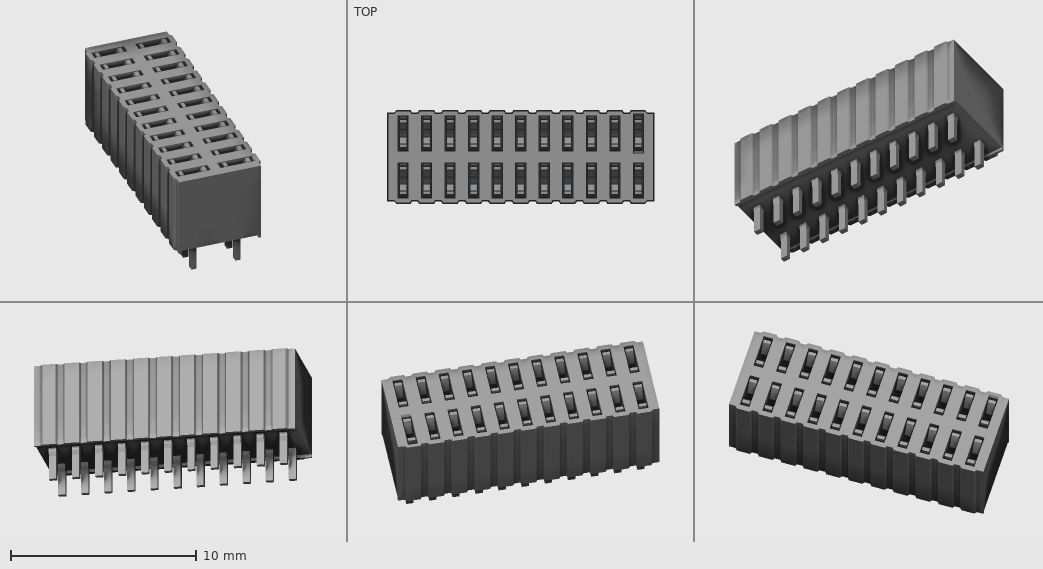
import cadquery as cq
import math

columns = 11
length = 14.37
depth = 5.0
body_height = 4.6
pin_drop = 1.6
end_margin = 0.83
pitch = (length - 2 * end_margin) / (columns - 1)
row_offset = pitch
column_xs = [end_margin - length / 2 + i * pitch for i in range(columns)]
row_ys = [-row_offset, row_offset]

rib_depth = 0.13
rib_half_width = 0.39
rib_flank = 0.09
end_half_width = 0.35
end_rib_flank = rib_depth
recess_width = 4.45
recess_height = 0.17

slot_width = 0.55
slot_length = 1.9
slot_depth = 3.45
marker_lead = 0.1
marker_lead_depth = 0.1

contact_width = 0.4
strip_thickness = 0.19
tip_gap = 0.01
tip_z = body_height - tip_gap
tip_inner_y = 0.57
tip_outer_y = tip_inner_y + strip_thickness
throat_y = 0.2
tip_face_height = 0.22
throat_z = tip_z - 0.62
shoulder_top_y = 0.78
shoulder_top_z = tip_z - 2.01
shoulder_radius = slot_length / 2 - shoulder_top_y
base_flat = 0.05
base_radius = 0.72
floor_z = body_height - slot_depth

pin_thickness = 0.3
pin_root_thickness = 0.4
pin_taper_start_z = -0.05
pin_taper_end_z = -0.3


def box(x_size, y_size, z_low, z_high):
    """Box centred on the Z axis between two heights."""
    return cq.Workplane("XY").workplane(offset=z_low).rect(x_size, y_size).extrude(z_high - z_low)


def centred_along_x(profile, width):
    """Extrude a YZ profile equally to both sides of X = 0."""
    return profile.extrude(width / 2, both=True)


def at_contacts(shape):
    """One copy of a shape at every contact position."""
    return [shape.val().translate(cq.Vector(x, y, 0)) for x in column_xs for y in row_ys]


def rib_side(x, direction, at_end):
    """Crest and root corners on one side of a +Y rib; direction is +1 or -1 along X."""
    half_width = end_half_width if at_end else rib_half_width
    flank = end_rib_flank if at_end else rib_flank
    crest = (x + direction * half_width, depth / 2)
    root = (x + direction * (half_width + flank), depth / 2 - rib_depth)
    return crest, root


def make_housing():
    """Ribbed block with a shallow channel under it between two long feet."""
    back = [(-length / 2, depth / 2 - rib_depth)]
    for i, x in enumerate(column_xs):
        left_crest, left_root = rib_side(x, -1, i == 0)
        right_crest, right_root = rib_side(x, 1, i == columns - 1)
        back += [left_root, left_crest, right_crest, right_root]
    back.append((length / 2, depth / 2 - rib_depth))
    front = [(x, -y) for x, y in reversed(back)]
    block = cq.Workplane("XY").polyline(back + front).close().extrude(body_height)
    return block.cut(box(length, recess_width, 0, recess_height))


def make_marker_lead():
    """Sloping ends that lengthen the mouth of the marker slot."""
    low_y = slot_length / 2
    top_y = low_y + marker_lead
    low_z = body_height - marker_lead_depth
    profile = cq.Workplane("YZ").polyline(
        [(-low_y, low_z), (low_y, low_z), (top_y, body_height), (-top_y, body_height)]
    ).close()
    return centred_along_x(profile, slot_width)


def make_arm(side):
    """One spring arm: curved base, inward lean to the throat, flared tip; side is +1 or -1."""
    wall_y = slot_length / 2
    base_top_z = floor_z + base_radius
    base_run = base_radius * math.sin(math.radians(45))
    shoulder_run = shoulder_radius * math.sin(math.radians(45))
    shoulder_base_z = shoulder_top_z - shoulder_radius

    def point(y, z):
        return (side * y, z)

    profile = (
        cq.Workplane("YZ")
        .moveTo(*point(base_flat, floor_z))
        .threePointArc(
            point(base_flat + base_run, base_top_z - base_run),
            point(base_flat + base_radius, base_top_z),
        )
        .lineTo(*point(throat_y, throat_z))
        .lineTo(*point(tip_inner_y, tip_z))
        .lineTo(*point(tip_outer_y, tip_z))
        .lineTo(*point(tip_outer_y, tip_z - tip_face_height))
        .lineTo(*point(throat_y + strip_thickness, throat_z))
        .lineTo(*point(shoulder_top_y, shoulder_top_z))
        .threePointArc(
            point(shoulder_top_y + shoulder_run, shoulder_base_z + shoulder_run),
            point(wall_y, shoulder_base_z),
        )
        .lineTo(*point(wall_y, floor_z))
        .close()
    )
    return centred_along_x(profile, contact_width)


def make_pin():
    """Solder pin that tapers below the channel and then runs straight."""
    root = pin_root_thickness / 2
    shank = pin_thickness / 2
    half = [
        (root, recess_height),
        (root, pin_taper_start_z),
        (shank, pin_taper_end_z),
        (shank, -pin_drop),
    ]
    mirrored = [(-y, z) for y, z in reversed(half)]
    profile = cq.Workplane("YZ").polyline(half + mirrored).close()
    return centred_along_x(profile, contact_width)


slot = box(slot_width, slot_length, floor_z, body_height)
marker_lead_in = make_marker_lead().translate((column_xs[-1], row_ys[-1], 0))

housing = make_housing().val().cut(*at_contacts(slot)).cut(marker_lead_in.val())
contact_parts = [make_arm(1), make_arm(-1), make_pin()]
contacts = [copy for part in contact_parts for copy in at_contacts(part)]
result = cq.Workplane(housing.fuse(*contacts))